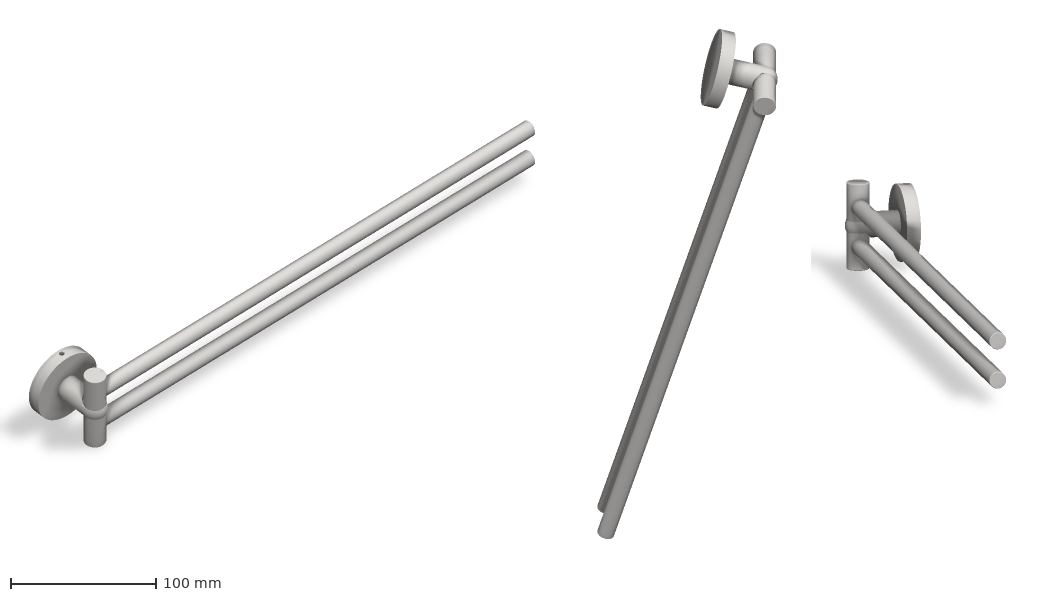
import cadquery as cq

total_length = 427.5
total_height = 61.0
total_reach = 47.0

rose_diameter = 54.0
rose_depth = 10.0
backing_diameter = 45.8
backing_depth = 6.0
set_screw_diameter = 4.0
set_screw_x = 4.0

post_diameter = 18.0
tongue_thickness = 8.0
sleeve_diameter = 16.0
sleeve_edge_radius = 0.5

rod_diameter = 12.0
rod_edge_radius = 0.5
rod_spacing = 28.0

post_radius = post_diameter / 2
swivel_x = total_reach - post_radius
rod_tip_y = total_length - rose_diameter / 2
sleeve_bottom = tongue_thickness / 2
sleeve_height = total_height / 2 - sleeve_bottom
rod_z = rod_spacing / 2


def cylinder_along_x(diameter, start, length):
    return cq.Workplane("YZ").workplane(offset=start).circle(diameter / 2).extrude(length)


def make_rose():
    """Wall rose: a disc with a back recess, a bore for the post and a set-screw hole on top."""
    rose = cylinder_along_x(rose_diameter, 0, rose_depth)
    recess = cylinder_along_x(backing_diameter, 0, backing_depth)
    bore = cylinder_along_x(post_diameter, 0, rose_depth)
    screw_hole = (
        cq.Workplane("XY")
        .center(set_screw_x, 0)
        .circle(set_screw_diameter / 2)
        .extrude(rose_diameter)
    )
    return rose.cut(recess).cut(bore).cut(screw_hole)


def make_post():
    """Post on a backing disc, with a ball end cut down to a flat tongue for the sleeves."""
    backing = cylinder_along_x(backing_diameter, 0, backing_depth)
    shank = cylinder_along_x(post_diameter, 0, swivel_x)
    round_end = cq.Workplane("XY", origin=(swivel_x, 0, 0)).sphere(post_radius)
    post = shank.union(round_end)
    for side in (1, -1):
        seat = (
            cq.Workplane("XY", origin=(swivel_x, 0, side * sleeve_bottom))
            .circle(post_radius)
            .extrude(side * sleeve_height)
        )
        post = post.cut(seat)
    return backing.union(post)


def make_arm(side):
    """Swivel sleeve with a towel rod: above the tongue for side 1, below it for side -1."""
    sleeve = (
        cq.Workplane("XY", origin=(swivel_x, 0, side * sleeve_bottom))
        .circle(sleeve_diameter / 2)
        .extrude(side * sleeve_height)
        .faces(">Z" if side > 0 else "<Z")
        .edges()
        .fillet(sleeve_edge_radius)
    )
    rod = (
        cq.Workplane("XZ", origin=(swivel_x, 0, side * rod_z))
        .circle(rod_diameter / 2)
        .extrude(-rod_tip_y)
        .faces(">Y")
        .edges()
        .fillet(rod_edge_radius)
    )
    return sleeve.union(rod)


rose = make_rose()
post = make_post()
arms = [make_arm(side) for side in (1, -1)]

result = cq.Compound.makeCompound([rose.val(), post.val(), *[arm.val() for arm in arms]])